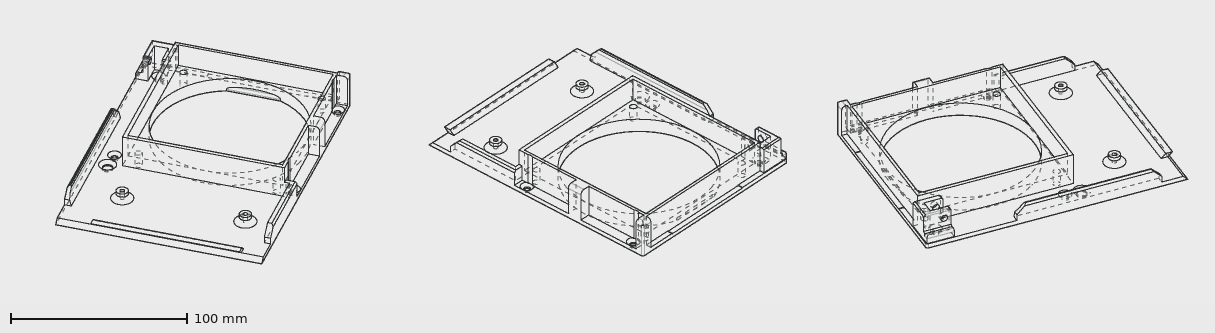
import cadquery as cq

LENGTH_X = 123.0
LENGTH_Y = 163.0
HEIGHT = 23.0
FLOOR = 3.0
CORNER_RADIUS = 1.3

FRAME_LEFT = 19.5
FRAME_RIGHT = 116.4
FRAME_FRONT = 62.6
FRAME_REAR = 159.5
THICK_WALL = 2.5
THIN_WALL = 2.0
FAN_FLOOR = 8.6
FAN_CENTER = (68.1, 110.8)
FAN_BORE = 92.0
FAN_SCREW_PITCH = 82.5
FAN_SCREW_HOLE = 4.2

BAR_LEFT = 38.3
BAR_RIGHT = 98.1
BAR_FRONT = 153.9
BAR_TOP = 2.6
BAR_RADIUS = 1.5

TAB_RADIUS = 2.5
MIDDLE_TAB_FRONT = 106.1
MIDDLE_TAB_REAR = 115.7
CORNER_TAB_FRONT = 157.6

RAIL_TOP = 12.9
RAIL_SHOULDER = 6.8
RAIL_FRONT = 16.3
LEFT_RAIL_REAR = 106.6
RAIL_CHAMFER = 1.22
LEFT_RAIL_TOP_WIDTH = 2.5
LEFT_RAIL_INNER_CHAMFER = 0.7
LEFT_RAIL_FOOT_WIDTH = 4.0
LEFT_RAIL_KNEE = 9.5
RIGHT_RAIL_WIDTH = 3.7

BRACKET_INSET = 0.5
BRACKET_LEFT = 4.9
BRACKET_FRONT = 145.4
BRACKET_REAR = LENGTH_Y - BRACKET_INSET
BRACKET_TOP = 19.5
BRACKET_SLOT_LEFT = 7.8
BRACKET_SLOT_RIGHT = 16.3
BRACKET_SLOT_REAR = 157.1
BRACKET_EDGE_SIZE = 0.8
BRACKET_REAR_CHAMFER = (1.3, 0.7)
PIN_HOLE = 4.0
PIN_CENTER = (149.6, 14.0)

LEDGE_TOP = 7.8
LEDGE_RADIUS = 1.5
LEDGE_SLOPE_START = 3.6
LEDGE_SLOPE_TOP = 8.6

TONGUE_LEFT = 21.0
TONGUE_RIGHT = 109.9
TONGUE_TOP = 5.5
TONGUE_TOP_DEPTH = 4.2
TONGUE_FOOT_DEPTH = 7.2

SCREW_HOLE = 4.0
SCREW_HEAD = 7.8
SCREW_LEFT_X = 12.0
SCREW_RIGHT_X = 119.0
SCREW_FRONT_Y = 71.0
SCREW_REAR_Y = 151.9
DRIVER_CLEARANCE = 6.2
LARGE_HOLE = 6.0
LARGE_HEAD = 10.3
LARGE_HOLE_CENTER = (11.2, 61.0)

STANDOFF_X = (29.2, 102.7)
STANDOFF_Y = 32.6
STANDOFF_FOOT = 13.2
STANDOFF_HEAD = 7.0
STANDOFF_HOLE = 2.6
STANDOFF_SHOULDER = 6.0
STANDOFF_TOP = 8.2


def block(x0, x1, y0, y1, z0, z1):
    """Box between two opposite corners."""
    return cq.Workplane("XY").box(x1 - x0, y1 - y0, z1 - z0, centered=False).translate((x0, y0, z0))


def along_x(points, x0, x1):
    """Prism with a (Y, Z) outline, running from x0 to x1."""
    return cq.Workplane("YZ").workplane(offset=x0).polyline(points).close().extrude(x1 - x0)


def along_y(outline, y0, y1):
    """Prism with an (X, Z) wire, running from y0 to y1."""
    return outline.extrude(y0 - y1).translate((0, y0, 0))


def cylinder(center, diameter, z0, z1):
    """Upright cylinder between two heights."""
    return cq.Workplane("XY").workplane(offset=z0).center(*center).circle(diameter / 2).extrude(z1 - z0)


def base_plate():
    """Floor plate with a 45 degree front edge."""
    outline = [(0, 0), (FLOOR, FLOOR), (LENGTH_Y, FLOOR), (LENGTH_Y, 0)]
    return along_x(outline, 0, LENGTH_X)


def tongue():
    """Ridge whose overhanging front face forms a V with the plate edge."""
    outline = [
        (FLOOR, FLOOR),
        (0, TONGUE_TOP),
        (TONGUE_TOP_DEPTH, TONGUE_TOP),
        (TONGUE_FOOT_DEPTH, FLOOR),
        (TONGUE_FOOT_DEPTH, 0),
        (FLOOR, 0),
    ]
    return along_x(outline, TONGUE_LEFT, TONGUE_RIGHT)


def fan_frame():
    """Four walls around a raised floor."""
    outer = block(FRAME_LEFT, FRAME_RIGHT, FRAME_FRONT, FRAME_REAR, 0, HEIGHT)
    cavity = block(
        FRAME_LEFT + THICK_WALL, FRAME_RIGHT - THIN_WALL,
        FRAME_FRONT + THICK_WALL, FRAME_REAR - THIN_WALL,
        FAN_FLOOR, HEIGHT,
    )
    return outer.cut(cavity)


def fan_openings():
    """Fan bore and its four screw holes."""
    screws = (
        cq.Workplane("XY").center(*FAN_CENTER)
        .rect(FAN_SCREW_PITCH, FAN_SCREW_PITCH, forConstruction=True)
        .vertices().circle(FAN_SCREW_HOLE / 2).extrude(FAN_FLOOR)
    )
    return screws.union(cylinder(FAN_CENTER, FAN_BORE, 0, FAN_FLOOR))


def rear_bar():
    """Low bar across the rear of the fan bore, rounded along its front edge."""
    bar = block(BAR_LEFT, BAR_RIGHT, BAR_FRONT, LENGTH_Y, 0, BAR_TOP)
    return bar.edges("<Y and >Z").fillet(BAR_RADIUS)


def tabs():
    """Middle and corner tabs that fill out the right side to full height."""
    middle = block(FRAME_RIGHT, LENGTH_X, MIDDLE_TAB_FRONT, MIDDLE_TAB_REAR, 0, HEIGHT)
    middle = middle.edges(">X and >Z").fillet(TAB_RADIUS)
    corner = block(FRAME_RIGHT, LENGTH_X, CORNER_TAB_FRONT, LENGTH_Y, 0, HEIGHT)
    corner = corner.faces(">Z").edges(">X or >Y").fillet(TAB_RADIUS)
    return middle.union(corner)


def left_rail():
    """Rail with a thickened foot and sloped ends."""
    section = cq.Workplane("XZ").polyline([
        (0, 0),
        (0, RAIL_TOP - RAIL_CHAMFER),
        (RAIL_CHAMFER, RAIL_TOP),
        (LEFT_RAIL_TOP_WIDTH - LEFT_RAIL_INNER_CHAMFER, RAIL_TOP),
        (LEFT_RAIL_TOP_WIDTH, RAIL_TOP - LEFT_RAIL_INNER_CHAMFER),
        (LEFT_RAIL_TOP_WIDTH, LEFT_RAIL_KNEE),
        (LEFT_RAIL_FOOT_WIDTH, FLOOR),
        (LEFT_RAIL_FOOT_WIDTH, 0),
    ]).close()
    slope = RAIL_TOP - RAIL_SHOULDER
    side = [
        (RAIL_FRONT, 0),
        (RAIL_FRONT, RAIL_SHOULDER),
        (RAIL_FRONT + slope, RAIL_TOP),
        (LEFT_RAIL_REAR - slope, RAIL_TOP),
        (LEFT_RAIL_REAR, RAIL_SHOULDER),
        (LEFT_RAIL_REAR, 0),
    ]
    rail = along_y(section, RAIL_FRONT, LEFT_RAIL_REAR)
    return rail.intersect(along_x(side, 0, LEFT_RAIL_FOOT_WIDTH))


def right_rail():
    """Rail joined at its rear end to the front wall of the frame."""
    rear = FRAME_FRONT + THICK_WALL
    side = [
        (RAIL_FRONT, 0),
        (RAIL_FRONT, RAIL_SHOULDER),
        (RAIL_FRONT + RAIL_TOP - RAIL_SHOULDER, RAIL_TOP),
        (rear, RAIL_TOP),
        (rear, 0),
    ]
    rail = along_x(side, LENGTH_X - RIGHT_RAIL_WIDTH, LENGTH_X)
    rail = rail.union(block(FRAME_RIGHT, LENGTH_X, FRAME_FRONT, rear, 0, RAIL_TOP))
    return rail.edges(">X and >Z").chamfer(RAIL_CHAMFER)


def bracket():
    """U-shaped bracket, open to the front, with a cross hole for a pin."""
    body = block(BRACKET_LEFT, FRAME_LEFT, BRACKET_FRONT, BRACKET_REAR, 0, BRACKET_TOP)
    body = body.faces(">Z").edges("<Y").chamfer(BRACKET_EDGE_SIZE)
    body = body.edges("<X and >Z").fillet(BRACKET_EDGE_SIZE)
    run, drop = BRACKET_REAR_CHAMFER
    rear_edge = [
        (BRACKET_REAR - run, BRACKET_TOP),
        (BRACKET_REAR, BRACKET_TOP),
        (BRACKET_REAR, BRACKET_TOP - drop),
    ]
    body = body.cut(along_x(rear_edge, BRACKET_LEFT, FRAME_LEFT))
    slot = block(
        BRACKET_SLOT_LEFT, BRACKET_SLOT_RIGHT, BRACKET_FRONT, BRACKET_SLOT_REAR, FLOOR, BRACKET_TOP,
    )
    pin = (
        cq.Workplane("YZ").workplane(offset=BRACKET_LEFT).center(*PIN_CENTER)
        .circle(PIN_HOLE / 2).extrude(FRAME_LEFT - BRACKET_LEFT)
    )
    return body.cut(slot).cut(pin)


def bracket_ledge():
    """Rounded ledge that rises into the outer face of the bracket."""
    ledge = block(BRACKET_INSET, BRACKET_LEFT, BRACKET_FRONT, BRACKET_REAR, 0, LEDGE_TOP)
    ledge = ledge.faces(">Z").edges("<X or >Y").fillet(LEDGE_RADIUS)
    slope = cq.Workplane("XZ").polyline([
        (LEDGE_SLOPE_START, LEDGE_TOP),
        (BRACKET_LEFT, LEDGE_SLOPE_TOP),
        (BRACKET_LEFT, FLOOR),
        (LEDGE_SLOPE_START, FLOOR),
    ]).close()
    return ledge.union(along_y(slope, BRACKET_FRONT, BRACKET_REAR))


def standoff(x):
    """Post on a conical foot with a blind screw hole down to the floor."""
    profile = [
        (STANDOFF_HOLE / 2, FLOOR),
        (STANDOFF_FOOT / 2, FLOOR),
        (STANDOFF_HEAD / 2, STANDOFF_SHOULDER),
        (STANDOFF_HEAD / 2, STANDOFF_TOP),
        (STANDOFF_HOLE / 2, STANDOFF_TOP),
    ]
    post = cq.Workplane("XZ").polyline(profile).close().revolve(360, (0, 0), (0, 1))
    return post.translate((x, STANDOFF_Y, 0))


def countersunk_hole(center, hole, head):
    """Through hole in the plate with a 45 degree countersink at the top."""
    depth = (head - hole) / 2
    profile = [(0, 0), (hole / 2, 0), (hole / 2, FLOOR - depth), (head / 2, FLOOR), (0, FLOOR)]
    cutter = cq.Workplane("XZ").polyline(profile).close().revolve(360, (0, 0), (0, 1))
    return cutter.translate((*center, 0))


result = base_plate().union(fan_frame()).cut(fan_openings())
recess = block(BAR_LEFT, BAR_RIGHT, FRAME_REAR, LENGTH_Y, BAR_TOP, FLOOR)
result = result.cut(recess).union(rear_bar())
for feature in (tongue(), tabs(), left_rail(), right_rail(), bracket().union(bracket_ledge())):
    result = result.union(feature)
for post_x in STANDOFF_X:
    result = result.union(standoff(post_x))

for screw_y in (SCREW_FRONT_Y, SCREW_REAR_Y):
    for screw_x in (SCREW_LEFT_X, SCREW_RIGHT_X):
        result = result.cut(countersunk_hole((screw_x, screw_y), SCREW_HOLE, SCREW_HEAD))
    result = result.cut(cylinder((SCREW_RIGHT_X, screw_y), DRIVER_CLEARANCE, FLOOR, HEIGHT))
result = result.cut(countersunk_hole(LARGE_HOLE_CENTER, LARGE_HOLE, LARGE_HEAD))

rounding = (
    cq.Workplane("XY").rect(LENGTH_X, LENGTH_Y, centered=False).extrude(HEIGHT)
    .edges("|Z and >Y").fillet(CORNER_RADIUS)
)
result = result.intersect(rounding)